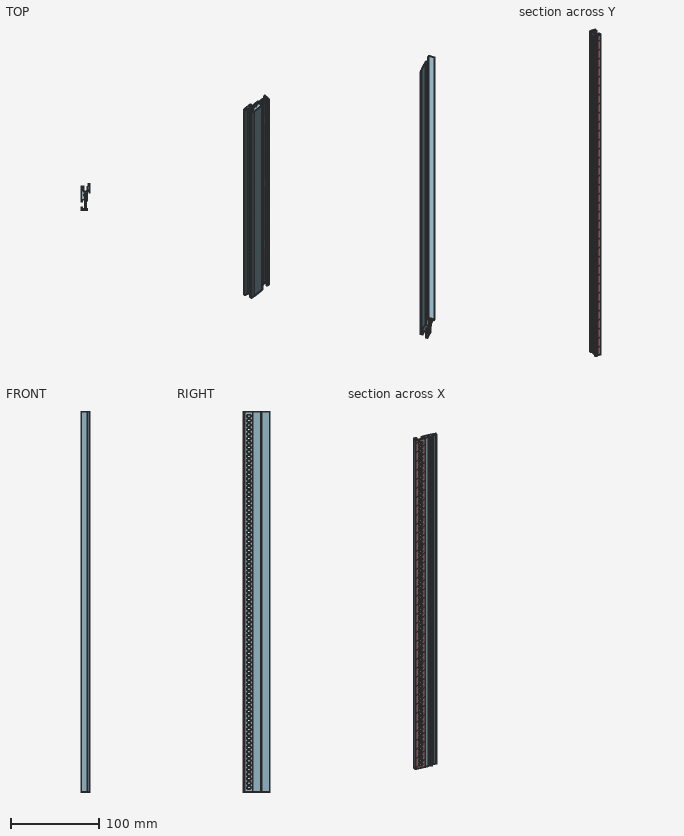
import cadquery as cq


height = 10.0
depth = 30.1
length = 432.0
x_left = -height / 2
x_right = height / 2
y_front = -depth / 2
y_back = depth / 2

web_thickness = 1.3
web_right = web_thickness / 2
web_left = -web_right
flange_right = 2.1
flange_thickness = 1.75
flange_top = y_front + flange_thickness

lip_inner = -3.6
channel_top = -3.4
mouth_bottom = -11.8
mouth_top = -5.6

body_right = 2.0
body_bottom = -4.5
face_left = -4.7
pad_bottom = -3.85
pad_top = 7.8

groove_left = -2.0
groove_right = 1.8
groove_floor = 6.2
floor_corner_x = 0.6
floor_corner_y = 7.2
notch_bottom = 8.0
notch_top = 8.4
notch_depth = 1.2

wall_top = 12.2
end_slot_left = -4.1
end_slot_right = -2.9
end_slot_floor = 11.2

arm_shoulder = 11.6
nose_left = 3.0
hook_left = 4.0
hook_tip = 4.6
hook_root_left = 2.2
hook_root = 6.2
body_shoulder = 5.2

slit_x = -0.1
slit_width = 0.7
slit_bottom = -2.8
slit_top = 3.7
core_x = -0.9
core_y = 2.0
core_diameter = 1.7

hole_count = 84
hole_pitch = 5.08
hole_y = -8.6
hole_length = 4.3
hole_width = 2.85


def front_right_outline():
    """Front flange, right side of the web and right side of the body."""
    return [
        (x_left, y_front),
        (flange_right, y_front),
        (flange_right, flange_top),
        (web_right, flange_top),
        (web_right, body_bottom),
        (body_right, body_bottom),
        (body_right, body_shoulder),
    ]


def right_arm_outline():
    """Hooked arm on the right, down to the groove floor."""
    notch_x = groove_right + notch_depth
    return [
        (hook_root_left, hook_root),
        (hook_left, hook_root),
        (hook_left, hook_tip),
        (x_right, hook_tip),
        (x_right, y_back),
        (nose_left, y_back),
        (nose_left, arm_shoulder),
        (groove_right, arm_shoulder),
        (groove_right, notch_top),
        (notch_x, notch_top),
        (notch_x, notch_bottom),
        (groove_right, notch_bottom),
        (groove_right, floor_corner_y),
        (floor_corner_x, groove_floor),
    ]


def left_wall_outline():
    """Left groove wall, its end slot and the outer left face with the pad."""
    notch_x = groove_left - notch_depth
    return [
        (groove_left, groove_floor),
        (groove_left, notch_bottom),
        (notch_x, notch_bottom),
        (notch_x, notch_top),
        (groove_left, notch_top),
        (groove_left, wall_top),
        (end_slot_right, wall_top),
        (end_slot_right, end_slot_floor),
        (end_slot_left, end_slot_floor),
        (end_slot_left, wall_top),
        (face_left, wall_top),
        (face_left, pad_top),
        (x_left, pad_top),
        (x_left, pad_bottom),
        (face_left, pad_bottom),
    ]


def channel_outline():
    """Lipped channel on the left, with the web as its floor."""
    return [
        (face_left, mouth_top),
        (lip_inner, mouth_top),
        (lip_inner, channel_top),
        (web_left, channel_top),
        (web_left, flange_top),
        (lip_inner, flange_top),
        (lip_inner, mouth_bottom),
        (x_left, mouth_bottom),
    ]


def make_rail():
    outline = front_right_outline() + right_arm_outline() + left_wall_outline() + channel_outline()
    return cq.Workplane("XY").polyline(outline).close().extrude(length)


def make_chamber():
    slit_height = slit_top - slit_bottom
    slit_y = (slit_top + slit_bottom) / 2
    slit = cq.Workplane("XY").center(slit_x, slit_y).rect(slit_width, slit_height).extrude(length)
    core = cq.Workplane("XY").center(core_x, core_y).circle(core_diameter / 2).extrude(length)
    return slit.union(core)


def make_web_holes():
    first_z = length / 2 - hole_pitch * (hole_count - 1) / 2
    centers = [(hole_y, first_z + i * hole_pitch) for i in range(hole_count)]
    sketch = cq.Workplane("YZ").pushPoints(centers).slot2D(hole_length, hole_width)
    return sketch.extrude(web_thickness, both=True)


result = make_rail().cut(make_chamber()).cut(make_web_holes())